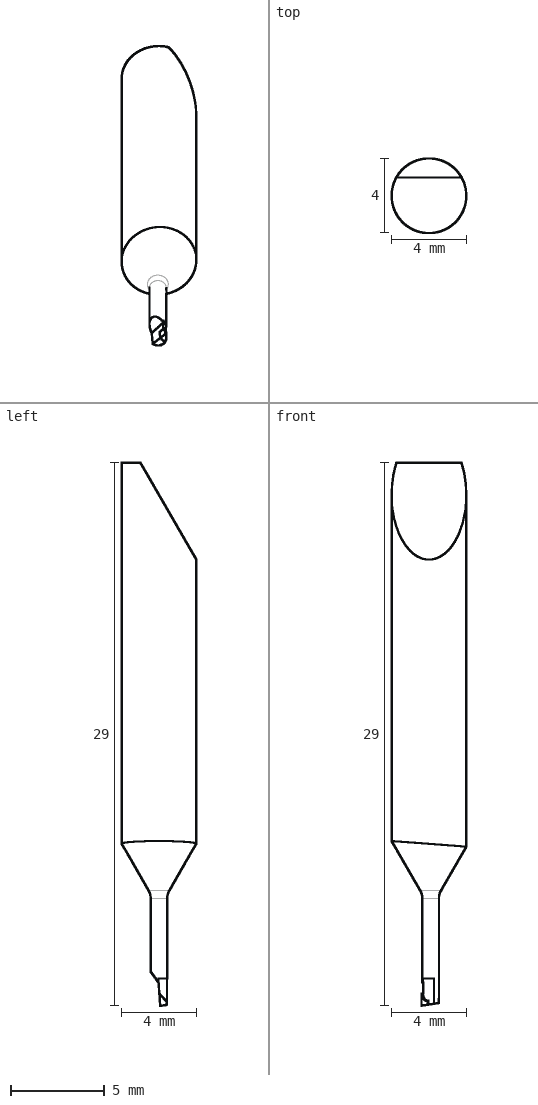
import cadquery as cq
import math

TOTAL_LENGTH = 29.0
SHANK_RADIUS = 2.0
BEVEL_ANGLE = 30.0
BEVEL_TOP_Y = 1.0

NECK_X = 0.1
NECK_RADIUS = 0.9 / 2
NECK_TOP_Z = 5.75
TAPER_ANGLE = 30.0
BLEND_RADIUS = 0.8

END_RISE = 0.15

RAKE_TOP_Y = 0.03
RAKE_TIP_Y = -0.05
RAKE_RUNOUT_Z = 1.25
RAKE_RUNOUT_HEIGHT = 0.58
RELIEF_TOP_Z = 1.45
RELIEF_X = 0.1
RELIEF_Y = -0.03
RELIEF_RADIUS = 0.4
RELIEF_END_X = 0.25

TOOTH_TIP_X = -0.4
TOOTH_END_X = -0.03
TOOTH_END_Y = -0.4
TOOTH_RADIUS = 0.44
TOOTH_RAKE_HEIGHT = 0.6
TOOTH_BACK_HEIGHT = 0.23

MARGIN = 0.58
WIDE = 2 * SHANK_RADIUS + 2 * MARGIN


def yz_prism(points):
    """Prism along X, wider than the tool, from a (y, z) outline."""
    return cq.Workplane("YZ").polyline(points).close().extrude(WIDE / 2, both=True)


def below_end_face():
    """Everything below the end face, which rises from the tooth tip toward +X."""
    slope = END_RISE / (NECK_X + NECK_RADIUS - TOOTH_TIP_X)
    outline = [
        (TOOTH_TIP_X - MARGIN, -slope * MARGIN),
        (TOOTH_TIP_X + WIDE, slope * WIDE),
        (TOOTH_TIP_X + WIDE, -WIDE),
        (TOOTH_TIP_X - MARGIN, -WIDE),
    ]
    return cq.Workplane("XZ").polyline(outline).close().extrude(WIDE / 2, both=True)


def turned_blank():
    """Neck, blend arc and taper, trimmed to the shank and joined to it."""
    angle = math.radians(TAPER_ANGLE)
    blend_r = NECK_RADIUS + BLEND_RADIUS * (1 - math.cos(angle))
    blend_z = NECK_TOP_Z + BLEND_RADIUS * math.sin(angle)
    middle_r = NECK_RADIUS + BLEND_RADIUS * (1 - math.cos(angle / 2))
    middle_z = NECK_TOP_Z + BLEND_RADIUS * math.sin(angle / 2)
    taper_r = SHANK_RADIUS + MARGIN
    taper_z = blend_z + (taper_r - blend_r) / math.tan(angle)
    envelope = (
        cq.Workplane("XZ")
        .lineTo(NECK_RADIUS, 0)
        .lineTo(NECK_RADIUS, NECK_TOP_Z)
        .threePointArc((middle_r, middle_z), (blend_r, blend_z))
        .lineTo(taper_r, taper_z)
        .lineTo(taper_r, TOTAL_LENGTH)
        .lineTo(0, TOTAL_LENGTH)
        .close()
        .revolve(360, (0, 0, 0), (0, 1, 0))
        .translate((NECK_X, 0, 0))
    )
    return cq.Workplane("XY").circle(SHANK_RADIUS).extrude(TOTAL_LENGTH).intersect(envelope)


def shank_bevel():
    """Material removed by the slanted flat at the top."""
    run = BEVEL_TOP_Y + SHANK_RADIUS + MARGIN
    drop = run / math.tan(math.radians(BEVEL_ANGLE))
    return yz_prism([
        (BEVEL_TOP_Y, TOTAL_LENGTH),
        (BEVEL_TOP_Y - run, TOTAL_LENGTH - drop),
        (BEVEL_TOP_Y - run, TOTAL_LENGTH),
    ])


def rake_flat():
    """Material removed on the +Y side to leave half the neck, with a leaning face and sloping runout."""
    far_y = NECK_RADIUS + MARGIN
    runout_slope = RAKE_RUNOUT_HEIGHT / (NECK_RADIUS - RAKE_TOP_Y)
    return yz_prism([
        (RAKE_TIP_Y, 0),
        (RAKE_TOP_Y, RAKE_RUNOUT_Z),
        (far_y, RAKE_RUNOUT_Z + runout_slope * (far_y - RAKE_TOP_Y)),
        (far_y, 0),
    ])


def relief():
    """Material removed around a smaller round core behind the cutting edge."""
    width = RELIEF_END_X + NECK_RADIUS + MARGIN
    depth = NECK_RADIUS + MARGIN
    block = (
        cq.Workplane("XY")
        .center(RELIEF_END_X - width / 2, RAKE_TOP_Y - depth / 2)
        .rect(width, depth)
        .extrude(RELIEF_TOP_Z)
    )
    core = cq.Workplane("XY").center(RELIEF_X, RELIEF_Y).circle(RELIEF_RADIUS).extrude(RELIEF_TOP_Z)
    return block.cut(core)


def make_tooth():
    """Cutting tooth: rounded flank, sloping top, level with the end face of the tool."""
    slope = (TOOTH_RAKE_HEIGHT - TOOTH_BACK_HEIGHT) / (RAKE_TIP_Y - TOOTH_END_Y)
    above = yz_prism([
        (RAKE_TIP_Y + MARGIN, TOOTH_RAKE_HEIGHT + slope * MARGIN),
        (TOOTH_END_Y - MARGIN, TOOTH_BACK_HEIGHT - slope * MARGIN),
        (TOOTH_END_Y - MARGIN, TOTAL_LENGTH),
        (RAKE_TIP_Y + MARGIN, TOTAL_LENGTH),
    ])
    return (
        cq.Workplane("XY")
        .moveTo(TOOTH_TIP_X, RAKE_TIP_Y)
        .radiusArc((TOOTH_END_X, TOOTH_END_Y), -TOOTH_RADIUS)
        .lineTo(TOOTH_END_X, RAKE_TOP_Y)
        .lineTo(TOOTH_TIP_X, RAKE_TOP_Y)
        .close()
        .extrude(RELIEF_TOP_Z)
        .cut(above)
        .cut(rake_flat())
        .cut(below_end_face())
    )


def make_holder(tooth):
    """Shank, taper and neck, with a seat that fits the tooth."""
    holder = turned_blank().cut(shank_bevel())
    return holder.cut(rake_flat()).cut(relief()).cut(below_end_face()).cut(tooth)


tooth = make_tooth()
holder = make_holder(tooth)

result = cq.Compound.makeCompound([*holder.solids().vals(), *tooth.solids().vals()])